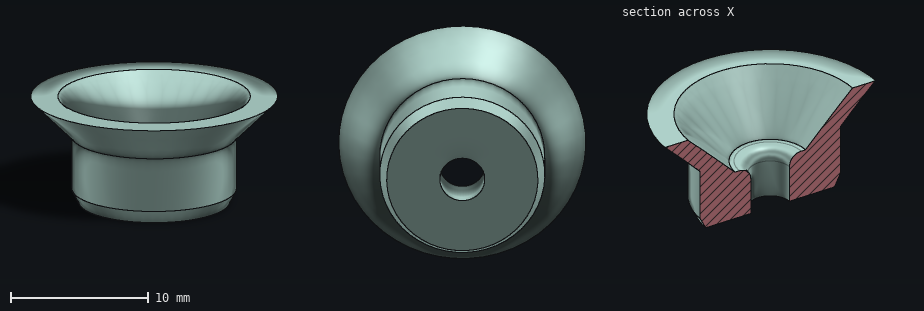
import cadquery as cq

rim_diameter = 18.0
body_diameter = 12.0
funnel_top_diameter = 14.0
funnel_floor_diameter = 6.0
bore_diameter = 3.25

total_height = 8.0
floor_height = 4.0
lead_in_height = 1.0
lead_in_width = 0.5
bore_round_radius = 1.0

rim_radius = rim_diameter / 2
body_radius = body_diameter / 2
funnel_top_radius = funnel_top_diameter / 2
funnel_floor_radius = funnel_floor_diameter / 2
bore_radius = bore_diameter / 2
flange_height = rim_radius - body_radius
flange_base = total_height - flange_height


def make_outer_body():
    """Tapered foot, cylindrical body and flared flange with a sharp rim."""
    return (
        cq.Workplane("XZ")
        .moveTo(0, 0)
        .lineTo(body_radius - lead_in_width, 0)
        .lineTo(body_radius, lead_in_height)
        .lineTo(body_radius, flange_base)
        .lineTo(rim_radius, total_height)
        .lineTo(0, total_height)
        .close()
        .revolve(360, (0, 0, 0), (0, 1, 0))
    )


def make_funnel_cavity():
    """Conical funnel, flat floor ring and through bore with a rounded mouth."""
    return (
        cq.Workplane("XZ")
        .moveTo(0, 0)
        .lineTo(bore_radius, 0)
        .lineTo(bore_radius, floor_height - bore_round_radius)
        .radiusArc((bore_radius + bore_round_radius, floor_height), bore_round_radius)
        .lineTo(funnel_floor_radius, floor_height)
        .lineTo(funnel_top_radius, total_height)
        .lineTo(0, total_height)
        .close()
        .revolve(360, (0, 0, 0), (0, 1, 0))
    )


result = make_outer_body().cut(make_funnel_cavity())